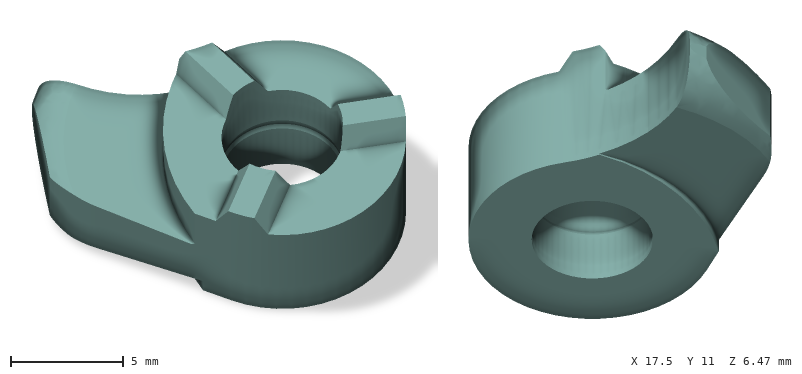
import cadquery as cq
import math

HUB_RADIUS = 5.504
BORE_RADIUS = 2.7
HUB_HEIGHT = 5.3
GROOVE_BOTTOM = 2.54
GROOVE_HEIGHT = 0.58
GROOVE_DEPTH = 0.09
GROOVE_APEX_RISE = 0.23

TOOTH_COUNT = 3
FIRST_TOOTH_ANGLE = 30
TOOTH_HEIGHT = 1.03
TOOTH_ROOT_WIDTH = 2.45
TOOTH_TOP_WIDTH = 1.22

RAKE_CENTER_X = -9.8
RAKE_RADIUS = 7.32
RAKE_LOW_Y = 0.95
NOSE_X = -11.996
FLANK_TOP = (-11.94, 0.44)
FLANK_BOTTOM = (-9.54, -3.97)
HEEL_START = (-9.3, -4.15)
HEEL_MIDDLE = (-8.36, -4.62)
HEEL_END = (-7.09, -4.92)
TANGENT_X = -0.45

MID_HEIGHT = 1.82
HALF_THICKNESS = 1.33
TAPER_X = -0.058
TAPER_Y = 0.05
ARM_STATIONS = (2.8, 1.05, -1.05, -3.32, -5.6)
ARM_RIGHT_X = 0.35

RELIEF_RADIUS = 8.75
RELIEF_Y = 1.22

WALL_TOP_ARC = ((-5.64, 1.22), (-5.02, -1.66), (-2.03, -5.5))
WALL_BOTTOM_ARC = ((-5.39, 1.22), (-4.67, -1.66), (-1.63, -5.53))
WALL_FOOT_RADIUS = 0.14

JOINT_X = -5.93
JOINT_Y = 1.22

MARGIN = 0.88
FAR = 17.5

rake_center_y = RAKE_LOW_Y + RAKE_RADIUS


def point_on_rake(x):
    return (x, rake_center_y - math.sqrt(RAKE_RADIUS**2 - (x - RAKE_CENTER_X) ** 2))


def plan_prism(bottom, top):
    """Hub disc and arm outline together, as a vertical prism."""
    share = HUB_RADIUS / (HUB_RADIUS + RAKE_RADIUS)
    rake_end = (RAKE_CENTER_X * share, rake_center_y * share)
    tangent_point = (TANGENT_X, -math.sqrt(HUB_RADIUS**2 - TANGENT_X**2))
    return (
        cq.Workplane("XY", origin=(0, 0, bottom))
        .moveTo(*point_on_rake(NOSE_X))
        .lineTo(*FLANK_TOP)
        .lineTo(*FLANK_BOTTOM)
        .lineTo(*HEEL_START)
        .threePointArc(HEEL_MIDDLE, HEEL_END)
        .lineTo(*tangent_point)
        .threePointArc((HUB_RADIUS, 0), rake_end)
        .threePointArc(point_on_rake(RAKE_CENTER_X), point_on_rake(NOSE_X))
        .close()
        .extrude(top - bottom)
    )


def arm_half_thickness(x, y):
    return HALF_THICKNESS + TAPER_X * x + TAPER_Y * y


def arm_section(y):
    """Round-nosed section of the arm in the plane at the given Y."""
    left = NOSE_X + RELIEF_RADIUS - math.sqrt(RELIEF_RADIUS**2 - (y - RELIEF_Y) ** 2)
    radius = arm_half_thickness(left, y) / (1 - TAPER_X)
    center_x = left + radius
    end = arm_half_thickness(ARM_RIGHT_X, y)
    return (
        cq.Workplane("XZ", origin=(0, y, 0))
        .moveTo(ARM_RIGHT_X, MID_HEIGHT - end)
        .lineTo(center_x, MID_HEIGHT - radius)
        .threePointArc((left, MID_HEIGHT), (center_x, MID_HEIGHT + radius))
        .lineTo(ARM_RIGHT_X, MID_HEIGHT + end)
        .close()
        .val()
    )


def make_arm():
    blank = cq.Workplane(cq.Solid.makeLoft([arm_section(y) for y in ARM_STATIONS]))
    return blank.intersect(plan_prism(-MARGIN, HUB_HEIGHT))


def hub_part(bottom, top, wall_arc):
    """Slice of the plan prism on the hub side of a curved wall."""
    start, middle, end = wall_arc
    hub_side = (
        cq.Workplane("XY", origin=(0, 0, bottom))
        .moveTo(*start)
        .threePointArc(middle, end)
        .lineTo(end[0], -FAR)
        .lineTo(FAR, -FAR)
        .lineTo(FAR, FAR)
        .lineTo(start[0], FAR)
        .close()
        .extrude(top - bottom)
    )
    return plan_prism(bottom, top).intersect(hub_side)


def tooth_bar(angle):
    """Trapezoidal bar running outward from the axis at the given angle."""
    return (
        cq.Workplane("YZ")
        .polyline([
            (-TOOTH_ROOT_WIDTH / 2, HUB_HEIGHT),
            (TOOTH_ROOT_WIDTH / 2, HUB_HEIGHT),
            (TOOTH_TOP_WIDTH / 2, HUB_HEIGHT + TOOTH_HEIGHT),
            (-TOOTH_TOP_WIDTH / 2, HUB_HEIGHT + TOOTH_HEIGHT),
        ])
        .close()
        .extrude(HUB_RADIUS + MARGIN)
        .rotate((0, 0, 0), (0, 0, 1), angle)
    )


def make_bore():
    bore = cq.Workplane("XY", origin=(0, 0, -MARGIN)).circle(BORE_RADIUS).extrude(FAR)
    groove = (
        cq.Workplane("XZ")
        .moveTo(0, GROOVE_BOTTOM)
        .lineTo(BORE_RADIUS, GROOVE_BOTTOM)
        .lineTo(BORE_RADIUS + GROOVE_DEPTH, GROOVE_BOTTOM + GROOVE_APEX_RISE)
        .lineTo(BORE_RADIUS, GROOVE_BOTTOM + GROOVE_HEIGHT)
        .lineTo(0, GROOVE_BOTTOM + GROOVE_HEIGHT)
        .close()
        .revolve(360, (0, 0, 0), (0, 1, 0))
    )
    return bore.union(groove)


def fillet_wall_foot(body):
    """Round the inner corner where the upper wall meets the arm."""
    middle_x, middle_y = WALL_TOP_ARC[1]
    foot_z = MID_HEIGHT + arm_half_thickness(middle_x, middle_y)
    foot = cq.selectors.NearestToPointSelector((middle_x, middle_y, foot_z))
    return body.edges(foot).fillet(WALL_FOOT_RADIUS)


def make_whole_shape():
    tooth_top = HUB_HEIGHT + TOOTH_HEIGHT
    upper_hub = hub_part(MID_HEIGHT, HUB_HEIGHT, WALL_TOP_ARC)
    lower_hub = hub_part(0, MID_HEIGHT, WALL_BOTTOM_ARC)
    shape = fillet_wall_foot(make_arm().union(upper_hub).union(lower_hub))
    tooth_limit = hub_part(HUB_HEIGHT, tooth_top, WALL_TOP_ARC)
    for index in range(TOOTH_COUNT):
        angle = FIRST_TOOTH_ANGLE + index * 360 / TOOTH_COUNT
        shape = shape.union(tooth_bar(angle).intersect(tooth_limit))
    return shape.cut(make_bore())


def make_tip_region():
    """Everything on the tip side of the L-shaped joint."""
    return (
        cq.Workplane("XY", origin=(0, 0, -MARGIN))
        .polyline([
            (-FAR, -FAR),
            (JOINT_X, -FAR),
            (JOINT_X, JOINT_Y),
            (RAKE_CENTER_X, JOINT_Y),
            (RAKE_CENTER_X, FAR),
            (-FAR, FAR),
        ])
        .close()
        .extrude(FAR)
    )


whole_shape = make_whole_shape()
tip_region = make_tip_region()

holder = whole_shape.cut(tip_region)

cutting_tip = whole_shape.intersect(tip_region)

result = cq.Compound.makeCompound([holder.val(), cutting_tip.val()])